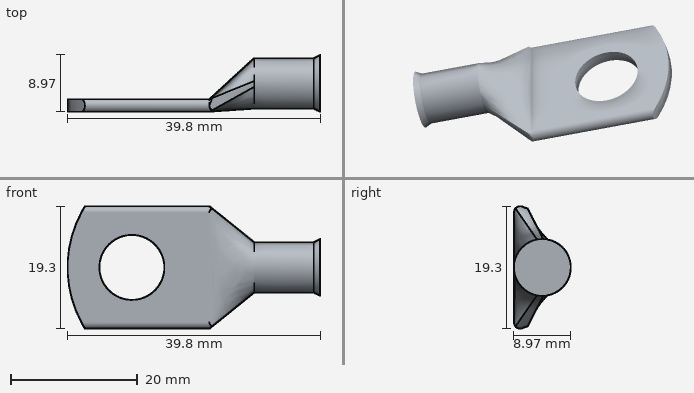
import cadquery as cq
import math

TOTAL_LENGTH = 39.81
TONGUE_LENGTH = 22.35
TONGUE_WIDTH = 19.3
TONGUE_THICKNESS = 2.0
TONGUE_TIP_RADIUS = 18.2
EDGE_FLAT = 0.002
HOLE_DIAMETER = 10.2
HOLE_CENTRE_X = 10.15
BARREL_DIAMETER = 8.0
BARREL_START_X = 29.4
FLARE_DIAMETER = 8.97
FLARE_LENGTH = 1.0
FACET_RIM_Y_UPPER = 0.36
FACET_RIM_Y_LOWER = -0.55

EDGE_RADIUS = (TONGUE_THICKNESS - EDGE_FLAT) / 2
HALF_WIDTH = TONGUE_WIDTH / 2
BARREL_RADIUS = BARREL_DIAMETER / 2
FLARE_RADIUS = FLARE_DIAMETER / 2
TONGUE_BOTTOM_Y = -FLARE_RADIUS
TONGUE_TOP_Y = TONGUE_BOTTOM_Y + TONGUE_THICKNESS
FLARE_START_X = TOTAL_LENGTH - FLARE_LENGTH
TIP_SAGITTA = TONGUE_TIP_RADIUS - math.sqrt(TONGUE_TIP_RADIUS**2 - HALF_WIDTH**2)


def tongue_blank():
    """Flat plate with sharp edges."""
    size = (TONGUE_LENGTH, TONGUE_THICKNESS, TONGUE_WIDTH)
    corner = cq.Vector(0, TONGUE_BOTTOM_Y, -HALF_WIDTH)
    return cq.Workplane(obj=cq.Solid.makeBox(*size, corner))


def rim_point(y, side):
    """Point of the barrel rim at height y, on the +Z (side = 1) or -Z (side = -1) half."""
    return cq.Vector(BARREL_START_X, y, side * math.sqrt(BARREL_RADIUS**2 - y**2))


def neck():
    """Ruled transition from the rectangular tongue section to the round barrel."""
    tongue_corners = [
        cq.Vector(TONGUE_LENGTH, y, z)
        for y, z in [
            (TONGUE_TOP_Y, -HALF_WIDTH),
            (TONGUE_TOP_Y, HALF_WIDTH),
            (TONGUE_BOTTOM_Y, HALF_WIDTH),
            (TONGUE_BOTTOM_Y, -HALF_WIDTH),
        ]
    ]
    tongue_section = cq.Wire.makePolygon(tongue_corners, close=True)

    rim_corners = [
        rim_point(FACET_RIM_Y_UPPER, -1),
        rim_point(FACET_RIM_Y_UPPER, 1),
        rim_point(FACET_RIM_Y_LOWER, 1),
        rim_point(FACET_RIM_Y_LOWER, -1),
    ]
    facet_mid_y = (FACET_RIM_Y_UPPER + FACET_RIM_Y_LOWER) / 2
    arc_middles = [
        cq.Vector(BARREL_START_X, BARREL_RADIUS, 0),
        rim_point(facet_mid_y, 1),
        cq.Vector(BARREL_START_X, -BARREL_RADIUS, 0),
        rim_point(facet_mid_y, -1),
    ]
    rim_ends = rim_corners[1:] + rim_corners[:1]
    rim_arcs = [
        cq.Edge.makeThreePointArc(start, middle, end)
        for start, middle, end in zip(rim_corners, arc_middles, rim_ends)
    ]
    rim = cq.Wire.assembleEdges(rim_arcs)
    return cq.Workplane(obj=cq.Solid.makeLoft([tongue_section, rim], True))


def barrel():
    """Round barrel with a conical flare at its end."""
    return (
        cq.Workplane("XZ")
        .moveTo(BARREL_START_X, 0)
        .lineTo(BARREL_START_X, BARREL_RADIUS)
        .lineTo(FLARE_START_X, BARREL_RADIUS)
        .lineTo(TOTAL_LENGTH, FLARE_RADIUS)
        .lineTo(TOTAL_LENGTH, 0)
        .close()
        .revolve(360, (0, 0, 0), (1, 0, 0))
    )


def tongue_through_cut(profile):
    """Extrude an XZ profile through the tongue thickness."""
    return profile.extrude(-TONGUE_THICKNESS)


def tip_waste():
    """Material outside the arc that bounds the tip of the tongue."""
    return tongue_through_cut(
        cq.Workplane("XZ", origin=(0, TONGUE_BOTTOM_Y, 0))
        .moveTo(TIP_SAGITTA, HALF_WIDTH)
        .threePointArc((0, 0), (TIP_SAGITTA, -HALF_WIDTH))
        .lineTo(-TIP_SAGITTA, -HALF_WIDTH)
        .lineTo(-TIP_SAGITTA, HALF_WIDTH)
        .close()
    )


def stud_hole():
    """Round clearance hole for the stud, through the tongue."""
    return tongue_through_cut(
        cq.Workplane("XZ", origin=(HOLE_CENTRE_X, TONGUE_BOTTOM_Y, 0)).circle(HOLE_DIAMETER / 2)
    )


def round_long_edges(body):
    """Round the four edges that run along the tongue, out into the neck."""
    sharp_region = cq.selectors.BoxSelector(
        (0, -BARREL_DIAMETER, -TONGUE_WIDTH),
        (TONGUE_LENGTH, BARREL_DIAMETER, TONGUE_WIDTH),
    )
    return body.edges(sharp_region).edges("|X").fillet(EDGE_RADIUS)


body = round_long_edges(tongue_blank().union(neck()))
result = body.union(barrel()).cut(tip_waste()).cut(stud_hole())